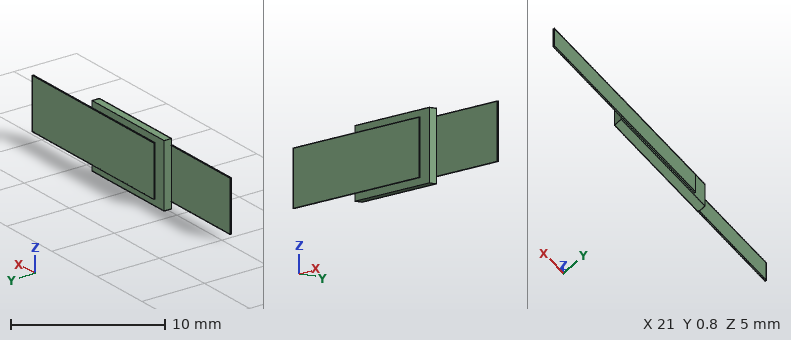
import cadquery as cq

total_length = 21.0
total_thickness = 0.8

body_length = 8.0
body_height = 5.0

strip_length = 13.5
strip_height = 4.0
strip_thickness = 0.1

body_thickness = total_thickness - 2 * strip_thickness
strip_offset_x = (total_length - strip_length) / 2
strip_offset_y = (body_thickness + strip_thickness) / 2


def lead_strip(side):
    """Strip on the -Y face reaching to -X (side = -1), or on +Y reaching to +X (side = 1)."""
    strip = cq.Workplane("XY").box(strip_length, strip_thickness, strip_height)
    return strip.translate((side * strip_offset_x, side * strip_offset_y, 0))


result = cq.Workplane("XY").box(body_length, body_thickness, body_height)
for side in (-1, 1):
    result = result.union(lead_strip(side))